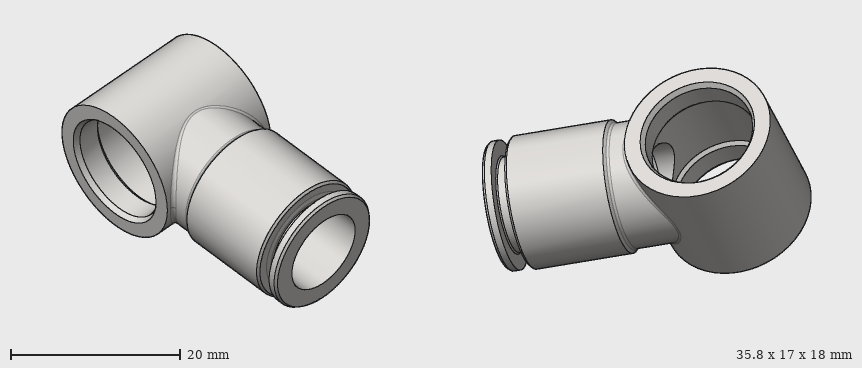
import cadquery as cq

total_length = 35.8
ring_diameter = 18.0
ring_radius = ring_diameter / 2
ring_width = 17.0
land_radius = 6.62
recess_radius = 7.05
recess_edge_width = 9.88
mouth_radius = 7.05
mouth_depth = 0.68

branch_end = total_length - ring_radius
stem_radius = 7.55
body_radius = 8.02
body_start = 11.8
body_end = 24.0
body_edge = 0.3
root_fillet = 0.45
shoulder_fillet = 0.45

cone_base_radius = 6.65
cone_tip_radius = 6.1
cone_height = 0.18

neck_radius = 5.73
neck_flare = 0.18
flange_radius = 7.8
flange_start = 25.65
flange_edge_length = 0.32
flange_edge_depth = 0.25

port_radius = 4.3
socket_radius = 5.2
socket_start = 8.2

select_margin = 0.05


def cylinder_y(radius, width):
    """Cylinder on the Y axis, centred on the origin."""
    return cq.Workplane("XZ").circle(radius).extrude(width / 2, both=True)


def cylinder_x(radius, start, end):
    """Cylinder on the X axis between two stations."""
    return cq.Workplane("YZ").workplane(offset=start).circle(radius).extrude(end - start)


def revolve_x(points):
    """Solid of revolution about X from (station, radius) points."""
    return cq.Workplane("XY").polyline(points).close().revolve(360, (0, 0, 0), (1, 0, 0))


def make_ring_and_stem():
    """Sleeve and stem with a fillet along the curve where they meet."""
    stem = cylinder_x(stem_radius, 0, body_start)
    joined = cylinder_y(ring_radius, ring_width).union(stem)
    past_axis = cq.selectors.BoxSelector(
        (select_margin, -ring_width / 2, -ring_radius),
        (body_start - select_margin, ring_width / 2, ring_radius),
        boundingbox=False,
    )
    return joined.edges(past_axis).edges("not #Y").edges("not |X").fillet(root_fillet)


def make_body():
    """Wide body with a sloped, filleted shoulder and a coned end face."""
    shoulder_start = body_start - (body_radius - stem_radius)
    stem_overlap = shoulder_start - 2 * shoulder_fillet
    body = revolve_x([
        (stem_overlap, 0),
        (stem_overlap, stem_radius),
        (shoulder_start, stem_radius),
        (body_start, body_radius),
        (body_end - body_edge, body_radius),
        (body_end, body_radius - body_edge),
        (body_end, cone_base_radius),
        (body_end + cone_height, cone_tip_radius),
        (body_end + cone_height, 0),
    ])
    shoulder_edge = cq.selectors.BoxSelector(
        (shoulder_start - select_margin, -body_radius, -body_radius),
        (shoulder_start + select_margin, body_radius, body_radius),
    )
    return body.edges(shoulder_edge).fillet(shoulder_fillet)


def make_collar():
    """Narrow neck that flares slightly into an end flange."""
    return revolve_x([
        (body_end, 0),
        (body_end, neck_radius),
        (flange_start - neck_flare, neck_radius),
        (flange_start, neck_radius + neck_flare),
        (flange_start, flange_radius),
        (branch_end - flange_edge_length, flange_radius),
        (branch_end, flange_radius - flange_edge_depth),
        (branch_end, 0),
    ])


def make_ring_bore():
    """Through bore with tapered mouths and a recess midway that has 45 degree ends."""
    half_width = ring_width / 2
    edge_station = recess_edge_width / 2
    recess_station = edge_station - (recess_radius - land_radius)
    profile = [
        (0, -half_width),
        (mouth_radius, -half_width),
        (land_radius, -half_width + mouth_depth),
        (land_radius, -edge_station),
        (recess_radius, -recess_station),
        (recess_radius, recess_station),
        (land_radius, edge_station),
        (land_radius, half_width - mouth_depth),
        (mouth_radius, half_width),
        (0, half_width),
    ]
    return cq.Workplane("XY").polyline(profile).close().revolve(360, (0, 0, 0), (0, 1, 0))


def make_branch_bore():
    """Port from the recess, opening into the tube socket."""
    port = cylinder_x(port_radius, 0, socket_start)
    return port.union(cylinder_x(socket_radius, socket_start, branch_end))


outside = make_ring_and_stem().union(make_body()).union(make_collar())
result = outside.cut(make_ring_bore()).cut(make_branch_bore())